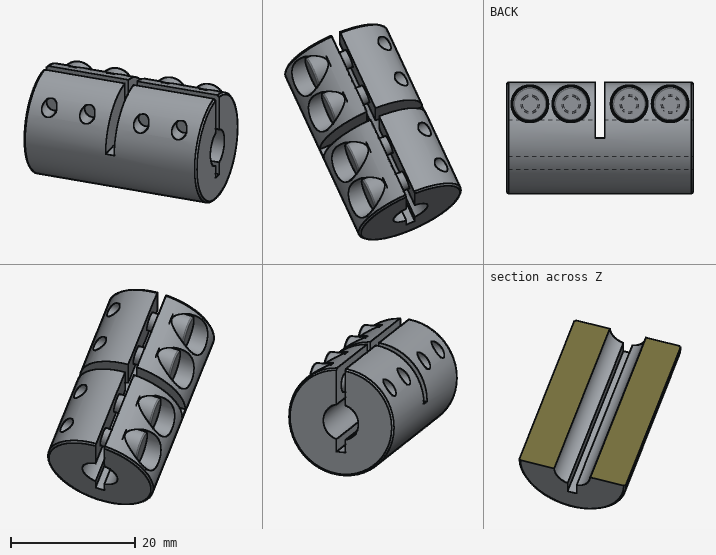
import cadquery as cq

BODY_LENGTH = 30.0
BODY_RADIUS = 9.0
END_CHAMFER = 0.3
BORE_RADIUS = 3.0
SLIT_WIDTH = 1.5
RELIEF_SLOT_BOTTOM_Z = -5.0
CROSS_SLOT_BOTTOM_Z = 0.0

SCREW_INNER_X = 4.68
SCREW_OUTER_X = 11.28
SCREW_X_POSITIONS = (-SCREW_OUTER_X, -SCREW_INNER_X, SCREW_INNER_X, SCREW_OUTER_X)
SCREW_Z = 5.5
SHANK_RADIUS = 1.5
HEAD_RADIUS = 2.75
HEAD_HEIGHT = 3.0
HEAD_FILLET = 0.25
HEAD_SEAT_Y = 2.85
SHANK_LENGTH = 8.0
SCREW_TIP_Y = HEAD_SEAT_Y - SHANK_LENGTH

COUNTERBORE_RADIUS = 3.0
FRONT_HOLE_RADIUS = 1.25


def y_cylinder(x, radius, y_start, y_end):
    """Cylinder along Y at screw height, between two Y positions."""
    axis_start = cq.Vector(x, y_start, SCREW_Z)
    cylinder = cq.Solid.makeCylinder(radius, y_end - y_start, axis_start, cq.Vector(0, 1, 0))
    return cq.Workplane(cylinder)


def slot_cutter(length_x, width_y, bottom_z, top_z):
    """Rectangular cutter centred on the Z axis, between two heights."""
    return (
        cq.Workplane("XY", origin=(0, 0, bottom_z))
        .rect(length_x, width_y)
        .extrude(top_z - bottom_z)
    )


def make_body():
    """Split clamp body with its bore, slots and screw holes."""
    cylinder = (
        cq.Workplane("YZ", origin=(-BODY_LENGTH / 2, 0, 0))
        .circle(BODY_RADIUS)
        .extrude(BODY_LENGTH)
        .faces("<X or >X")
        .chamfer(END_CHAMFER)
    )
    bored = cylinder.faces("<X").workplane(origin=(0, 0, 0)).circle(BORE_RADIUS).cutThruAll()

    lengthwise_slit = slot_cutter(BODY_LENGTH, SLIT_WIDTH, RELIEF_SLOT_BOTTOM_Z, BODY_RADIUS)
    cross_slot = slot_cutter(SLIT_WIDTH, 2 * BODY_RADIUS, CROSS_SLOT_BOTTOM_Z, BODY_RADIUS)
    body = bored.cut(lengthwise_slit).cut(cross_slot)

    for x in SCREW_X_POSITIONS:
        body = body.cut(y_cylinder(x, COUNTERBORE_RADIUS, HEAD_SEAT_Y, BODY_RADIUS))
        body = body.cut(y_cylinder(x, SHANK_RADIUS, SCREW_TIP_Y, HEAD_SEAT_Y))
        body = body.cut(y_cylinder(x, FRONT_HOLE_RADIUS, -BODY_RADIUS, SCREW_TIP_Y))
    return body


def make_screw(x):
    """Cap screw with a rounded head rim and a plain shank."""
    head = y_cylinder(x, HEAD_RADIUS, HEAD_SEAT_Y, HEAD_SEAT_Y + HEAD_HEIGHT)
    head = head.faces(">Y").edges().fillet(HEAD_FILLET)
    shank = y_cylinder(x, SHANK_RADIUS, SCREW_TIP_Y, HEAD_SEAT_Y)
    return head.union(shank)


body = make_body()
screws = [make_screw(x) for x in SCREW_X_POSITIONS]

result = cq.Compound.makeCompound([body.val(), *[screw.val() for screw in screws]])